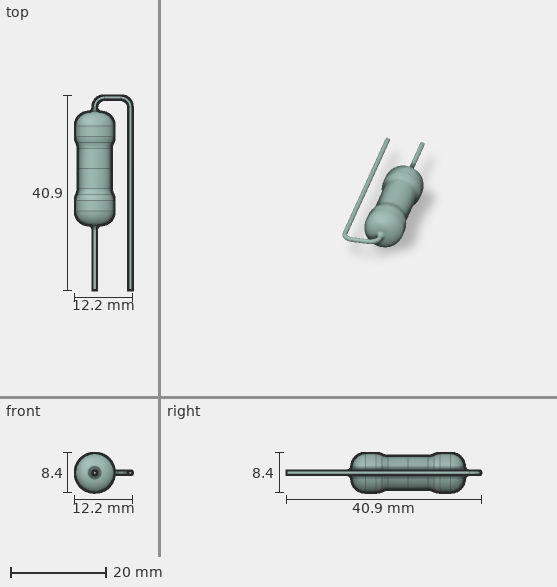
import cadquery as cq
import math

overall_length = 40.9
lead_diameter = 1.0
lead_spacing = 7.5
bend_radius = 2.0

cap_diameter = 8.4
waist_diameter = 7.15
body_length = 23.85
dome_radius = 3.0
neck_radius = 0.8
cap_band = 2.25
shoulder_length = 2.45
fold_clearance = 2.95

lead_radius = lead_diameter / 2
cap_radius = cap_diameter / 2
waist_radius = waist_diameter / 2
body_end = body_length / 2
fold_y = body_end + fold_clearance
lead_end_y = fold_y + lead_radius - overall_length

dome_y = body_end - dome_radius
shoulder_y = dome_y - cap_band
waist_y = shoulder_y - shoulder_length

shoulder_step = cap_radius - waist_radius
shoulder_mid = ((cap_radius + waist_radius) / 2, (shoulder_y + waist_y) / 2)
shoulder_radius = (shoulder_length**2 + shoulder_step**2) / (4 * shoulder_step)
half_sweep = math.asin(shoulder_length / 2 / shoulder_radius) / 2
arc_drop = shoulder_radius * (1 - math.cos(half_sweep))
arc_run = shoulder_radius * math.sin(half_sweep)

dome_center_r = cap_radius - dome_radius
neck_center_r = lead_radius + neck_radius
center_distance = dome_radius + neck_radius
neck_angle = math.acos((neck_center_r - dome_center_r) / center_distance)
neck_y = dome_y + center_distance * math.sin(neck_angle)


def polar(center_r, center_y, radius, angle):
    """Point on a profile arc, with the angle measured from the radial direction."""
    return (center_r + radius * math.cos(angle), center_y + radius * math.sin(angle))


def make_half_body():
    """Revolve the half of the body on the +Y side."""
    neck_middle_angle = math.pi + neck_angle / 2
    return (
        cq.Workplane("XY")
        .lineTo(waist_radius, 0)
        .lineTo(waist_radius, waist_y)
        .threePointArc((waist_radius + arc_drop, waist_y + arc_run), shoulder_mid)
        .threePointArc((cap_radius - arc_drop, shoulder_y - arc_run), (cap_radius, shoulder_y))
        .lineTo(cap_radius, dome_y)
        .threePointArc(
            polar(dome_center_r, dome_y, dome_radius, neck_angle / 2),
            polar(dome_center_r, dome_y, dome_radius, neck_angle),
        )
        .threePointArc(
            polar(neck_center_r, neck_y, neck_radius, neck_middle_angle),
            (lead_radius, neck_y),
        )
        .lineTo(0, neck_y)
        .close()
        .revolve(360, (0, 0), (0, 1))
    )


def make_lead():
    """Sweep one wire through the body, around both bends and back beside it."""
    bend_start_y = fold_y - bend_radius
    bend_middle = bend_radius * (1 - math.sqrt(0.5))
    path = (
        cq.Workplane("XY")
        .moveTo(0, lead_end_y)
        .lineTo(0, bend_start_y)
        .threePointArc((bend_middle, fold_y - bend_middle), (bend_radius, fold_y))
        .lineTo(lead_spacing - bend_radius, fold_y)
        .threePointArc(
            (lead_spacing - bend_middle, fold_y - bend_middle),
            (lead_spacing, bend_start_y),
        )
        .lineTo(lead_spacing, lead_end_y)
    )
    section = cq.Workplane("XZ", origin=(0, lead_end_y, 0)).circle(lead_radius)
    return section.sweep(path)


half_body = make_half_body()
body = half_body.union(half_body.mirror("XZ"))
result = body.union(make_lead())